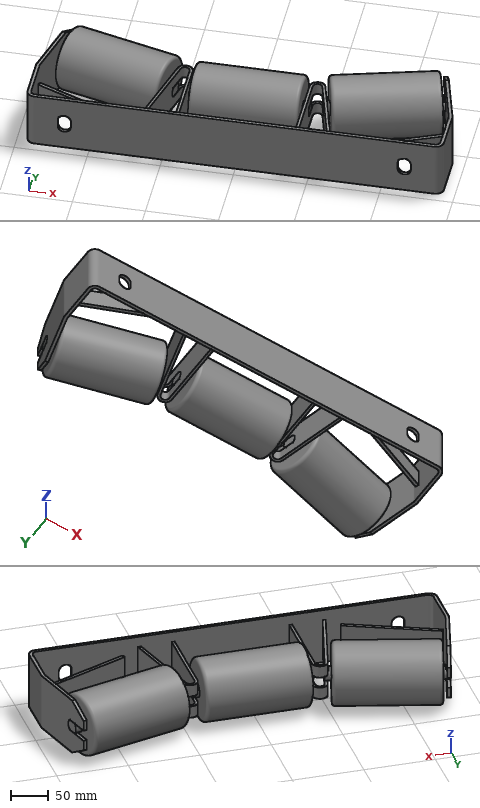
import cadquery as cq
import math

frame_length = 570.0
frame_height = 80.5
frame_plate = 5.0
bend_radius = 11.5
wing_kink_y = 69.0
wing_length = 109.0
wing_tip_width = 45.5
wing_taper = 29.5
tilt = 15.0

mount_spacing = 465.0
mount_width = 18.0
mount_height = 27.0

roller_diameter = 89.0
roller_length = 150.0
roller_edge_radius = 5.0
shaft_diameter = 20.0
shaft_flat_width = 15.5
roller_gap = 5.0
flat_overrun = 1.5
center_roller_y = 97.5
side_roller_y = 123.5

bracket_height = 50.0
bracket_plate = 4.3
bracket_bend_radius = 11.0

strut_height = 30.0
strut_plate = 5.0
strut_wall_y = 57.5
strut_base_x = 153.0

axis_x = math.cos(math.radians(tilt))
axis_y = -math.sin(math.radians(tilt))
across_x = -axis_y
across_y = axis_x

support_half_span = roller_length / 2 + roller_gap
side_x = frame_length / 2
wing_outer = -side_x * axis_x + wing_kink_y * axis_y
side_roller_axial = wing_outer + frame_plate + support_half_span
side_roller_x = (side_roller_axial - side_roller_y * axis_y) / axis_x
bracket_tilted_face = side_roller_axial + support_half_span

stations = [
    (side_roller_x, side_roller_y, -tilt, frame_plate, bracket_plate),
    (0, center_roller_y, 0, bracket_plate, bracket_plate),
    (-side_roller_x, side_roller_y, tilt, bracket_plate, frame_plate),
]


def mirrored(body):
    return body.mirror("YZ")


def place(body, station):
    x, y, rotation = station[:3]
    return body.rotate((0, 0, 0), (0, 0, 1), rotation).translate((x, y, 0))


def plate_from_outline(points, height):
    return cq.Workplane("XY").polyline(points).close().extrude(height / 2, both=True)


def fillet_upright_edge(body, point, radius):
    edge = cq.selectors.NearestToPointSelector((*point, 0))
    return body.edges("|Z").edges(edge).fillet(radius)


def axial_cylinder(diameter, length):
    """Cylinder along X, centred on the origin."""
    return cq.Workplane("YZ").workplane(offset=-length / 2).circle(diameter / 2).extrude(length)


def shaft_flats(length):
    """Bar along X, centred, with the flat-sided section of the shaft ends."""
    flats = cq.Workplane("XY").box(length, shaft_diameter, shaft_flat_width)
    return axial_cylinder(shaft_diameter, length).intersect(flats)


def make_roller(station):
    """Roller with its shaft; the shaft ends have two flats and fill the plate thickness."""
    start_plate, end_plate = station[3:]
    clear_span = 2 * support_half_span
    body = axial_cylinder(roller_diameter, roller_length).edges("%CIRCLE").fillet(roller_edge_radius)
    shaft = axial_cylinder(shaft_diameter, clear_span - 2 * flat_overrun)
    ends_length = clear_span + start_plate + end_plate
    ends = shaft_flats(ends_length).translate(((end_plate - start_plate) / 2, 0, 0))
    return place(body.union(shaft).union(ends), station)


def make_shaft_slots(station):
    """Cutter for the slots, open towards the roller's +Y side, at both ends of a roller."""
    reach = bracket_bend_radius
    opening = roller_diameter
    length = 2 * (support_half_span + reach)
    slot = cq.Workplane("XY").box(length, opening, shaft_flat_width).translate((0, opening / 2, 0))
    slot = slot.union(shaft_flats(length))
    return place(slot, station)


def cut_shaft_slots(body):
    for station in stations:
        body = body.cut(make_shaft_slots(station))
    return body


def make_frame():
    kink_shift = frame_plate * math.tan(math.radians(tilt / 2))
    outer_kink = (-side_x, wing_kink_y)
    inner_kink = (-side_x + frame_plate, wing_kink_y - kink_shift)
    outer_tip = (-side_x + wing_length * across_x, wing_kink_y + wing_length * across_y)
    inner_tip = (outer_tip[0] + frame_plate * axis_x, outer_tip[1] + frame_plate * axis_y)
    outer_corner = (-side_x, 0)
    inner_corner = (-side_x + frame_plate, frame_plate)
    outline = [
        (0, 0), outer_corner, outer_kink, outer_tip,
        inner_tip, inner_kink, inner_corner, (0, frame_plate),
    ]
    half = plate_from_outline(outline, frame_height)
    for point in (outer_corner, outer_kink):
        half = fillet_upright_edge(half, point, bend_radius)
    for point in (inner_corner, inner_kink):
        half = fillet_upright_edge(half, point, bend_radius - frame_plate)

    corner = (
        cq.Workplane("YZ")
        .polyline([(0, frame_height / 2), (0, wing_tip_width / 2), (-wing_taper, frame_height / 2)])
        .close()
        .extrude(2 * frame_plate, both=True)
    )
    for cutter in (corner, corner.mirror("XY")):
        cutter = cutter.rotate((0, 0, 0), (0, 0, 1), -tilt)
        half = half.cut(cutter.translate((*outer_tip, 0)))

    frame = half.union(mirrored(half)).clean()
    mounts = (
        cq.Workplane("XZ")
        .pushPoints([(-mount_spacing / 2, 0), (mount_spacing / 2, 0)])
        .slot2D(mount_height, mount_width, 90)
        .extrude(-frame_plate)
    )
    return cut_shaft_slots(frame.cut(mounts))


def make_left_bracket():
    center_x = -support_half_span - bracket_bend_radius
    center_y = (bracket_tilted_face + bracket_bend_radius - center_x * axis_x) / axis_y

    def outline(radius):
        tilted_x = center_x - radius * axis_x
        tilted_y = center_y - radius * axis_y
        foot_x = tilted_x - (tilted_y - frame_plate) * across_x / across_y
        return (
            cq.Workplane("XY")
            .moveTo(foot_x, frame_plate)
            .lineTo(tilted_x, tilted_y)
            .threePointArc((center_x, center_y + radius), (center_x + radius, center_y))
            .lineTo(center_x + radius, frame_plate)
            .close()
            .extrude(bracket_height / 2, both=True)
        )

    bracket = outline(bracket_bend_radius).cut(outline(bracket_bend_radius - bracket_plate))
    return cut_shaft_slots(bracket)


def make_left_strut():
    start = (-side_x + frame_plate, strut_wall_y)
    end = (-strut_base_x, frame_plate)
    length = math.dist(start, end)
    slope = math.degrees(math.atan2(end[1] - start[1], end[0] - start[0]))
    strut = cq.Workplane("XY").box(length, strut_plate, strut_height, centered=(False, False, True))
    return strut.rotate((0, 0, 0), (0, 0, 1), slope).translate((*start, 0))


frame = make_frame()
left_bracket = make_left_bracket()
brackets = [left_bracket, mirrored(left_bracket)]
left_strut = make_left_strut()
struts = [left_strut, mirrored(left_strut)]
rollers = [make_roller(station) for station in stations]

bodies = [frame, *brackets, *struts, *rollers]
result = cq.Compound.makeCompound([body.solids().val() for body in bodies])